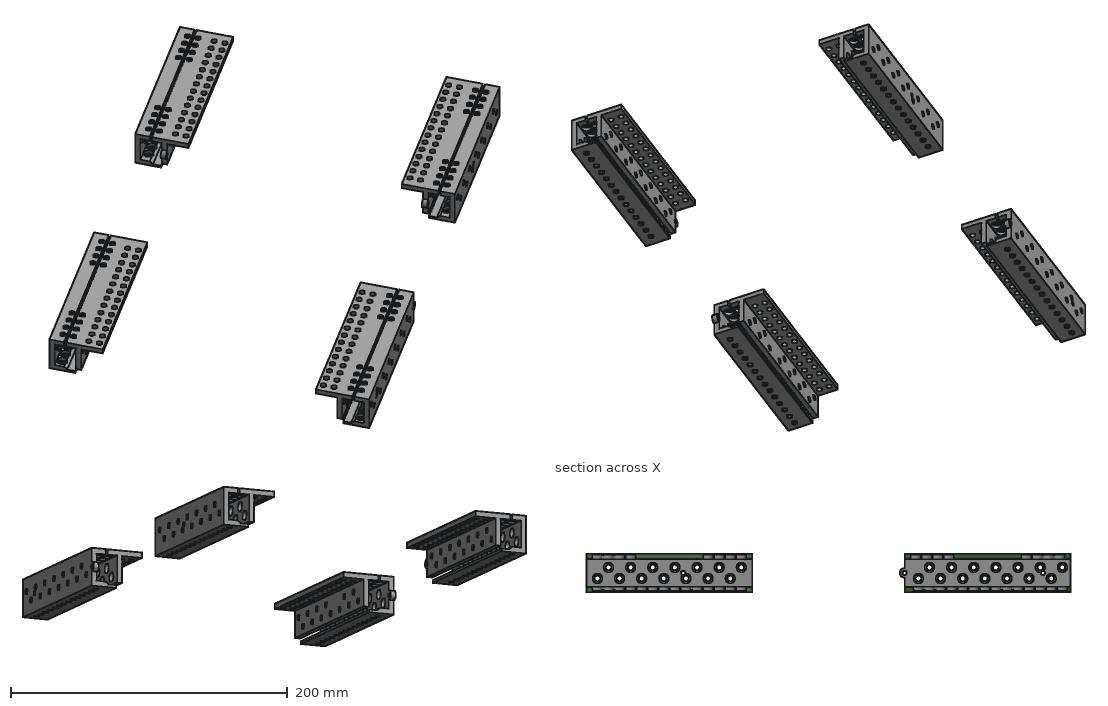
import cadquery as cq
OVERALL_LENGTH = 350.0
RAIL_HEIGHT = 28.0

PLATE = RAIL_HEIGHT / 7
RAIL_LENGTH = 30 * PLATE
OUTER_X = -30 * PLATE
REAR_END_Y = OVERALL_LENGTH / 2
FRONT_END_Y = RAIL_LENGTH - OVERALL_LENGTH / 2

SEAM_GAP = 0.4 * PLATE
TEE_EDGE = 3.15 * PLATE
CHANNEL_EDGE = TEE_EDGE - SEAM_GAP
LIP_WIDTH = 4.875 * PLATE
LIP_SLOPE_START = 2.75 * PLATE
LIP_SLOPE_END = 3.375 * PLATE
LIP_THIN = PLATE / 2
WEB_POSITION = 5 * PLATE
FLANGE_WIDTH = 10 * PLATE
TOP_UNDERSIDE = RAIL_HEIGHT - PLATE

HOLE_DIAMETER = PLATE
HOLE_PITCH = 2 * PLATE
HOLE_COUNT = 14
END_GROUP = 4
EDGE_MARGIN = 2 * PLATE
FRONT_SHIFT = PLATE / 2
CHANNEL_COLUMN = 2 * PLATE
TEE_COLUMN = 4 * PLATE
FLANGE_COLUMNS = (7 * PLATE, 9 * PLATE)
LOW_ROW_Z = 2.5 * PLATE
HIGH_ROW_Z = 4.5 * PLATE
FRONT_WEB_SKIPPED = 5

RECESS_DIAMETER = 7.0
RECESS_DEPTH = 0.75 * PLATE

EAR_DIAMETER = 7.0
PIVOT_DIAMETER = 3.0
PIVOT_Z = RAIL_HEIGHT / 2
REAR_WALL_PIVOT = 17.5 * PLATE
FRONT_WALL_PIVOT = 25 * PLATE


def extrude_section(points, end_y):
    """Extrude an X-Z outline along the rail; end_y is the rail's +Y end."""
    outline = [(OUTER_X + x, z) for x, z in points]
    return cq.Workplane("XZ", origin=(0, end_y, 0)).polyline(outline).close().extrude(RAIL_LENGTH)


def upright_holes(x, distances, end_y, bottom_z, diameter=HOLE_DIAMETER, depth=PLATE):
    """Vertical cylinders at the given distances from the +Y end, rising from bottom_z."""
    points = [(OUTER_X + x, end_y - d) for d in distances]
    plane = cq.Workplane("XY", origin=(0, 0, bottom_z))
    return plane.pushPoints(points).circle(diameter / 2).extrude(depth)


def cross_cylinders(x, y_z_points, diameter, depth=PLATE):
    """Cylinders along X that start at the distance x from the outer face."""
    plane = cq.Workplane("YZ", origin=(OUTER_X + x, 0, 0))
    return plane.pushPoints(y_z_points).circle(diameter / 2).extrude(depth)


def cut_top_holes(body, column, end_y):
    """End groups of holes in the top plate, recessed from its underside."""
    distances = end_group_distances()
    body = body.cut(upright_holes(column, distances, end_y, TOP_UNDERSIDE))
    return body.cut(upright_holes(column, distances, end_y, TOP_UNDERSIDE, RECESS_DIAMETER, RECESS_DEPTH))


def cut_lip_holes(body, shift, end_y):
    """Full row of holes in the lip, recessed from its upper face."""
    distances = row_distances(shift)
    body = body.cut(upright_holes(CHANNEL_COLUMN, distances, end_y, 0))
    recess_floor = PLATE - RECESS_DEPTH
    return body.cut(
        upright_holes(CHANNEL_COLUMN, distances, end_y, recess_floor, RECESS_DIAMETER, RECESS_DEPTH)
    )


def cut_upright_holes(body, plate_x, recess_x, centers):
    """Zigzag holes through an upright plate, recessed from the cavity side."""
    body = body.cut(cross_cylinders(plate_x, centers, HOLE_DIAMETER))
    return body.cut(cross_cylinders(recess_x, centers, RECESS_DIAMETER, RECESS_DEPTH))


def row_distances(shift):
    return [EDGE_MARGIN + shift + i * HOLE_PITCH for i in range(HOLE_COUNT)]


def end_group_distances():
    full_row = row_distances(0)
    return full_row[:END_GROUP] + full_row[-END_GROUP:]


def staggered_points(shift, end_y, skipped=None):
    """Zigzag hole centres on an upright plate, alternating between the low and high rows."""
    points = []
    for i, distance in enumerate(row_distances(shift)):
        if i != skipped:
            points.append((end_y - distance, HIGH_ROW_Z if i % 2 else LOW_ROW_Z))
    return points


def add_ear(body, x, y):
    """Round ear on the end of an upright plate, drilled for the pivot."""
    center = [(y, PIVOT_Z)]
    ear = cross_cylinders(x, center, EAR_DIAMETER)
    return body.union(ear).cut(cross_cylinders(x, center, PIVOT_DIAMETER))


def make_channel(end_y, shift, wall_pivot):
    """Outer channel: upright wall, top strip up to the seam, and bottom lip that slopes thinner."""
    channel = extrude_section(
        [
            (0, 0),
            (LIP_WIDTH, 0),
            (LIP_WIDTH, LIP_THIN),
            (LIP_SLOPE_END, LIP_THIN),
            (LIP_SLOPE_START, PLATE),
            (PLATE, PLATE),
            (PLATE, TOP_UNDERSIDE),
            (CHANNEL_EDGE, TOP_UNDERSIDE),
            (CHANNEL_EDGE, RAIL_HEIGHT),
            (0, RAIL_HEIGHT),
        ],
        end_y,
    )
    channel = cut_top_holes(channel, CHANNEL_COLUMN, end_y)
    channel = cut_lip_holes(channel, shift, end_y)
    channel = cut_upright_holes(channel, 0, PLATE - RECESS_DEPTH, staggered_points(shift, end_y))
    return channel.cut(cross_cylinders(0, [(end_y - wall_pivot, PIVOT_Z)], PIVOT_DIAMETER))


def make_tee(end_y, shift, skipped=None):
    """Inner tee: flange from the seam inward, with a hanging web."""
    tee = extrude_section(
        [
            (TEE_EDGE, TOP_UNDERSIDE),
            (WEB_POSITION, TOP_UNDERSIDE),
            (WEB_POSITION, PLATE),
            (WEB_POSITION + PLATE, PLATE),
            (WEB_POSITION + PLATE, TOP_UNDERSIDE),
            (FLANGE_WIDTH, TOP_UNDERSIDE),
            (FLANGE_WIDTH, RAIL_HEIGHT),
            (TEE_EDGE, RAIL_HEIGHT),
        ],
        end_y,
    )
    tee = cut_top_holes(tee, TEE_COLUMN, end_y)
    for column in FLANGE_COLUMNS:
        tee = tee.cut(upright_holes(column, row_distances(shift), end_y, TOP_UNDERSIDE))
    return cut_upright_holes(tee, WEB_POSITION, WEB_POSITION, staggered_points(shift, end_y, skipped))


rear_channel = make_channel(REAR_END_Y, 0, REAR_WALL_PIVOT)
rear_tee = add_ear(make_tee(REAR_END_Y, 0), WEB_POSITION, REAR_END_Y - RAIL_LENGTH)

front_channel = add_ear(make_channel(FRONT_END_Y, FRONT_SHIFT, FRONT_WALL_PIVOT), 0, FRONT_END_Y)
front_tee = make_tee(FRONT_END_Y, FRONT_SHIFT, FRONT_WEB_SKIPPED)

solids = []
for body in (rear_channel, rear_tee, front_channel, front_tee):
    solids.append(body.val())
    solids.append(body.mirror("YZ").val())

result = cq.Compound.makeCompound(solids)